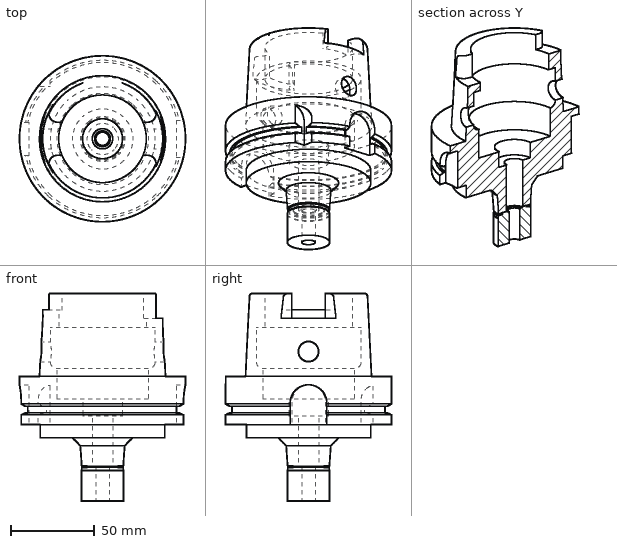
import cadquery as cq
import math

TOP = 125.0
FLANGE_TOP = 75.0
GROOVE_TOP_EDGE = 58.5
GROOVE_TOP = 57.0
GROOVE_BOTTOM = 53.1
GROOVE_BOTTOM_EDGE = 51.9
FLANGE_BOTTOM = 46.0
COLLAR_BOTTOM = 38.0
NECK_TOP = 33.4
HOLDER_BOTTOM = 21.0

TAPER_BASE_R = 38.0
TAPER_SLOPE = 0.05
TAPER_TOP_R = TAPER_BASE_R - TAPER_SLOPE * (TOP - FLANGE_TOP)
RIM_FILLET = 2.0
FLANGE_R = 50.0
GROOVE_EDGE_R = 47.5
GROOVE_R = 46.1
COLLAR_R = 37.5
CONE_R = 18.1
NECK_TOP_R = 13.5
NECK_BOTTOM_R = 12.6

MOUTH_R = 26.4
MOUTH_BOTTOM = 104.8
CAVITY_R = 31.5
CAVITY_FILLET = 4.0
CAVITY_SHELF = 79.9
CHAMBER_R = CAVITY_R - CAVITY_FILLET
CAVITY_FLOOR = 61.5
TUBE_SEAT_R = 12.0
TUBE_SEAT_DEPTH = 10.0
COOLANT_R = 6.1
CROSS_HOLE_R = 6.0
CROSS_HOLE_Z = 90.0

RIM_SLOT_WIDTH = 20.0
RIM_SLOT_CORNER_R = 5.0
RIM_SHOULDER_X = 32.2
LEFT_RIM_SLOT_FLOOR = 115.2
RIGHT_RIM_SLOT_FLOOR = 110.1

KEYWAY_TOP = 70.0
KEYWAY_FLOOR_X = 44.2
LEFT_KEYWAY_R = 10.0
RIGHT_KEYWAY_R = 11.0
NOTCH_R = 9.0
NOTCH_FLOOR_X = 31.8
NOTCH_EDGE_Y = 31.5

TIP_R = 12.8
TIP_BAND_BOTTOM = 18.2
TIP_BAND_EDGE = 18.6
TIP_BAND_R = 12.6
TIP_SHOULDER = 20.2
TIP_COLLAR_R = 9.4
TIP_BORE_R = 4.0
TIP_BORE_MOUTH_R = 4.8

MARGIN = 6.2


def revolve_profile(profile):
    """Turn a closed (radius, height) profile around the Z axis."""
    return profile.close().revolve(360, (0, 0, 0), (0, 1, 0))


def holder_blank():
    outline = [
        (TAPER_TOP_R, TOP),
        (TAPER_BASE_R, FLANGE_TOP),
        (FLANGE_R, FLANGE_TOP),
        (FLANGE_R, GROOVE_TOP_EDGE),
        (GROOVE_EDGE_R, GROOVE_TOP),
        (GROOVE_R, GROOVE_TOP),
        (GROOVE_R, GROOVE_BOTTOM),
        (GROOVE_EDGE_R, GROOVE_BOTTOM),
        (FLANGE_R, GROOVE_BOTTOM_EDGE),
        (FLANGE_R, FLANGE_BOTTOM),
        (COLLAR_R, FLANGE_BOTTOM),
        (COLLAR_R, COLLAR_BOTTOM),
        (CONE_R, COLLAR_BOTTOM),
        (NECK_TOP_R, NECK_TOP),
        (NECK_BOTTOM_R, HOLDER_BOTTOM),
        (0, HOLDER_BOTTOM),
    ]
    blank = revolve_profile(cq.Workplane("YZ").moveTo(0, TOP).polyline(outline, includeCurrent=True))
    return blank.faces(">Z").edges().fillet(RIM_FILLET)


def holder_cavity():
    """Mouth, clamping undercut, lower chamber, coolant tube seat and coolant bore."""
    tube_seat_floor = CAVITY_FLOOR - TUBE_SEAT_DEPTH
    fillet_offset = CAVITY_FILLET * (1 - math.sqrt(0.5))
    profile = (
        cq.Workplane("YZ")
        .moveTo(0, TOP)
        .lineTo(MOUTH_R, TOP)
        .lineTo(MOUTH_R, MOUTH_BOTTOM)
        .lineTo(CAVITY_R, MOUTH_BOTTOM)
        .lineTo(CAVITY_R, CAVITY_SHELF + CAVITY_FILLET)
        .threePointArc(
            (CAVITY_R - fillet_offset, CAVITY_SHELF + fillet_offset),
            (CHAMBER_R, CAVITY_SHELF),
        )
        .lineTo(CHAMBER_R, CAVITY_FLOOR)
        .lineTo(TUBE_SEAT_R, CAVITY_FLOOR)
        .lineTo(TUBE_SEAT_R, tube_seat_floor)
        .lineTo(COOLANT_R, tube_seat_floor)
        .lineTo(COOLANT_R, HOLDER_BOTTOM)
        .lineTo(0, HOLDER_BOTTOM)
    )
    return revolve_profile(profile)


def cross_hole():
    return (
        cq.Workplane("YZ")
        .center(0, CROSS_HOLE_Z)
        .circle(CROSS_HOLE_R)
        .extrude(FLANGE_R, both=True)
    )


def rim_slot(side, floor):
    """Slot through the rim on the side -1 or +1 in X, flaring round the two lugs."""
    half_width = RIM_SLOT_WIDTH / 2
    corner_x = RIM_SHOULDER_X - RIM_SLOT_CORNER_R
    corner_y = half_width + RIM_SLOT_CORNER_R
    arc_step = RIM_SLOT_CORNER_R * math.sqrt(0.5)
    outer = FLANGE_R
    return (
        cq.Workplane("XY", origin=(0, 0, floor))
        .moveTo(0, -half_width)
        .lineTo(side * corner_x, -half_width)
        .threePointArc(
            (side * (corner_x + arc_step), arc_step - corner_y),
            (side * RIM_SHOULDER_X, -corner_y),
        )
        .lineTo(side * RIM_SHOULDER_X, -outer)
        .lineTo(side * outer, -outer)
        .lineTo(side * outer, outer)
        .lineTo(side * RIM_SHOULDER_X, outer)
        .lineTo(side * RIM_SHOULDER_X, corner_y)
        .threePointArc(
            (side * (corner_x + arc_step), corner_y - arc_step),
            (side * corner_x, half_width),
        )
        .lineTo(0, half_width)
        .close()
        .extrude(TOP + MARGIN - floor)
    )


def flange_keyway(side, floor_x, centre_y, arch_r):
    """Round-topped keyway, open below, from a flat floor out past the flange in X."""
    spring_z = KEYWAY_TOP - arch_r
    return (
        cq.Workplane("YZ", origin=(side * floor_x, 0, 0))
        .moveTo(centre_y - arch_r, FLANGE_BOTTOM)
        .lineTo(centre_y - arch_r, spring_z)
        .threePointArc((centre_y, KEYWAY_TOP), (centre_y + arch_r, spring_z))
        .lineTo(centre_y + arch_r, FLANGE_BOTTOM)
        .close()
        .extrude(side * (FLANGE_R + MARGIN - floor_x))
    )


def make_holder():
    return (
        holder_blank()
        .cut(holder_cavity())
        .cut(cross_hole())
        .cut(rim_slot(-1, LEFT_RIM_SLOT_FLOOR))
        .cut(rim_slot(1, RIGHT_RIM_SLOT_FLOOR))
        .cut(flange_keyway(-1, KEYWAY_FLOOR_X, 0, LEFT_KEYWAY_R))
        .cut(flange_keyway(1, KEYWAY_FLOOR_X, 0, RIGHT_KEYWAY_R))
        .cut(flange_keyway(-1, NOTCH_FLOOR_X, NOTCH_EDGE_Y + NOTCH_R, NOTCH_R))
    )


def make_tip():
    """Bored cylinder whose short collar bears on the end of the holder."""
    bore_mouth_depth = TIP_BORE_MOUTH_R - TIP_BORE_R
    outline = [
        (TIP_BORE_R, 0),
        (TIP_R, 0),
        (TIP_R, TIP_BAND_BOTTOM),
        (TIP_BAND_R, TIP_BAND_EDGE),
        (TIP_BAND_R, TIP_SHOULDER),
        (TIP_COLLAR_R, TIP_SHOULDER),
        (TIP_COLLAR_R, HOLDER_BOTTOM),
        (TIP_BORE_MOUTH_R, HOLDER_BOTTOM),
        (TIP_BORE_R, HOLDER_BOTTOM - bore_mouth_depth),
    ]
    return revolve_profile(cq.Workplane("YZ").polyline(outline))


holder = make_holder()
tip = make_tip()

result = cq.Compound.makeCompound([holder.val(), tip.val()])